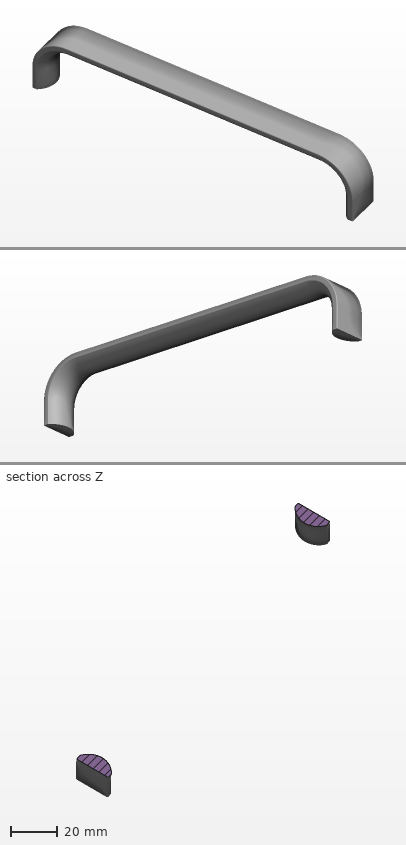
import cadquery as cq

length = 167.0
width = 17.0
height = 29.5
thickness = 7.0
side_depth = 2.5
edge_radius = 0.5
bend_radius = 18.0

half_length = length / 2
half_width = width / 2
leg_height = height - bend_radius
half_span = half_length - bend_radius


def bar_section():
    """Cross-section at the foot of the left leg: flat outside, domed inside."""
    outer_x = -half_length
    band_x = outer_x + side_depth
    crown_x = outer_x + thickness
    return (
        cq.Workplane("XY")
        .moveTo(outer_x, half_width - edge_radius)
        .lineTo(outer_x, -half_width + edge_radius)
        .radiusArc((outer_x + edge_radius, -half_width), -edge_radius)
        .lineTo(band_x, -half_width)
        .threePointArc((crown_x, 0), (band_x, half_width))
        .lineTo(outer_x + edge_radius, half_width)
        .radiusArc((outer_x, half_width - edge_radius), -edge_radius)
        .close()
    )


def handle_path():
    """Outer centre line: up the left leg, along the grip and down the right leg."""
    return (
        cq.Workplane("XZ")
        .moveTo(-half_length, 0)
        .lineTo(-half_length, leg_height)
        .tangentArcPoint((-half_span, height), relative=False)
        .lineTo(half_span, height)
        .tangentArcPoint((half_length, leg_height), relative=False)
        .lineTo(half_length, 0)
    )


result = bar_section().sweep(handle_path())